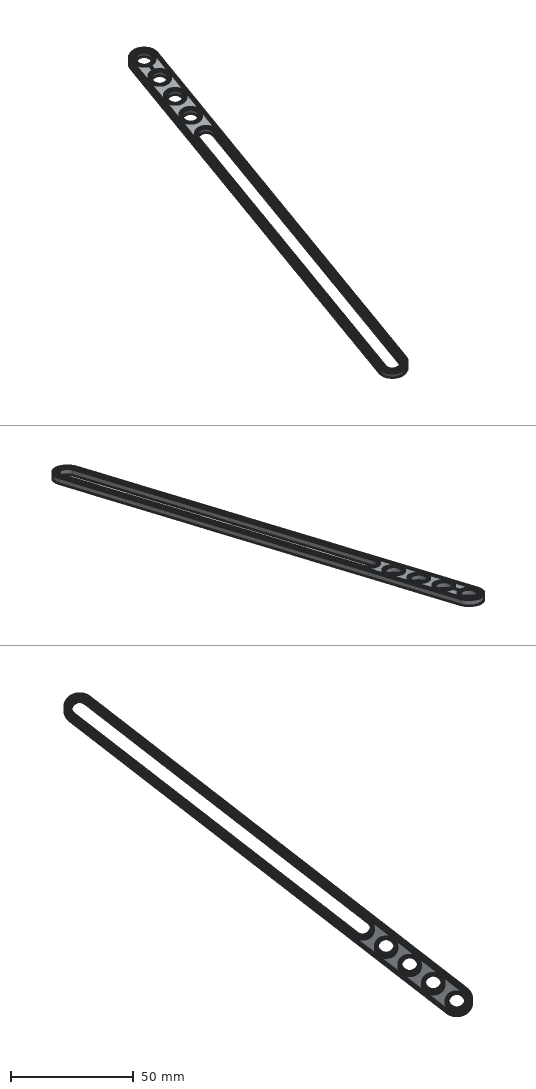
import cadquery as cq

pitch = 12.5
pitch_count = 17
length = pitch * pitch_count
width = pitch
thickness = 3.12

bore_diameter = 7.0
hole_count = 4
first_hole_x = -length / 2 + pitch / 2
slot_start_x = first_hole_x + hole_count * pitch
slot_end_x = length / 2 - pitch / 2

rim_diameter = 9.2
rim_width = (rim_diameter - bore_diameter) / 2
rim_chamfer = 0.3
pocket_depth = 0.2

rib_width = 0.5


def make_bar():
    """Solid bar with rounded ends."""
    return cq.Workplane("XY").slot2D(length, width).extrude(thickness)


def make_openings(diameter, bottom, height):
    """Columns at every hole and along the slot, all of one diameter."""
    plane = cq.Workplane("XY").workplane(offset=bottom)
    hole_points = [(first_hole_x + i * pitch, 0) for i in range(hole_count)]
    holes = plane.pushPoints(hole_points).circle(diameter / 2).extrude(height)
    slot_center_x = (slot_start_x + slot_end_x) / 2
    slot_length = slot_end_x - slot_start_x + diameter
    slot = plane.center(slot_center_x, 0).slot2D(slot_length, diameter).extrude(height)
    return holes.union(slot)


def make_pocket(bottom):
    """Field between the outer rim and the rims of the openings."""
    plane = cq.Workplane("XY").workplane(offset=bottom)
    field = plane.slot2D(length - 2 * rim_width, width - 2 * rim_width).extrude(pocket_depth)
    return field.cut(make_openings(rim_diameter, bottom, pocket_depth))


def make_rib(bottom):
    """Strip between the centers of the first two holes, as tall as the pocket is deep."""
    plane = cq.Workplane("XY").workplane(offset=bottom)
    return plane.center(first_hole_x + pitch / 2, 0).rect(pitch, rib_width).extrude(pocket_depth)


rimmed_bar = make_bar().cut(make_openings(bore_diameter, 0, thickness))
rimmed_bar = rimmed_bar.faces("<Z or >Z").edges().chamfer(rim_chamfer)

pocket_floor_z = thickness - pocket_depth
bottom_pocket = make_pocket(0)
top_pocket = make_pocket(pocket_floor_z).cut(make_rib(pocket_floor_z))
result = rimmed_bar.cut(bottom_pocket).cut(top_pocket)